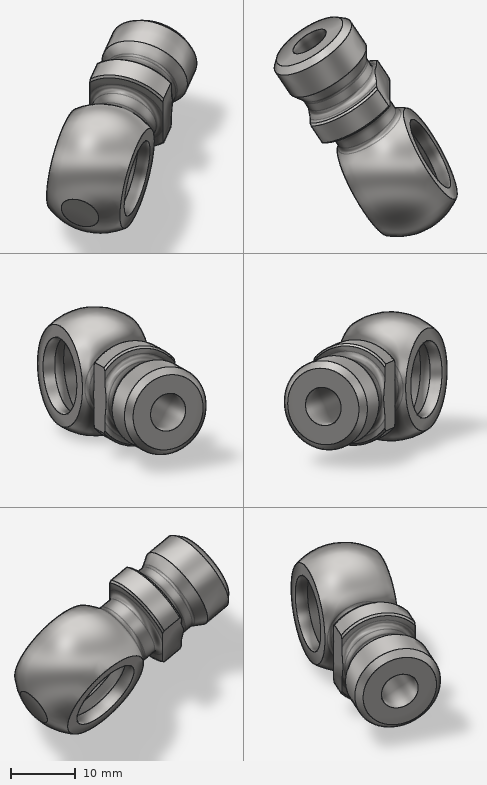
import cadquery as cq
import math

length = 35.5
ball_radius = 20.0 / 2
flat_width = 12.0
nose_y = -9.5
end_y = nose_y + length

lower_neck_radius = 10.5 / 2
upper_neck_radius = 11.7 / 2
fillet_radius = 1.0
collar_radius = 8.0
collar_front_y = 12.05
collar_back_y = 15.98
collar_chamfer = 0.32
head_radius = 14.0 / 2
head_front_y = 20.6
head_chamfer = 1.0
cone_angle = math.radians(30)
cone_blend_radius = 0.85

eye_radius = 12.0 / 2
groove_radius = 8.0
groove_mouth_width = 8.0
groove_floor_width = 3.0
bore_radius = 6.0 / 2


def arc_middle(center, radius, degrees):
    """Point on a circle of the profile, at an angle from the radial direction."""
    angle = math.radians(degrees)
    return center[0] + radius * math.cos(angle), center[1] + radius * math.sin(angle)


def turned_body():
    """Ball, necks, collar and head revolved about Y from a (radius, y) profile."""
    nose_radius = math.sqrt(ball_radius**2 - nose_y**2)

    blend_r = lower_neck_radius + fillet_radius
    blend_y = math.sqrt((ball_radius + fillet_radius) ** 2 - blend_r**2)
    ball_share = ball_radius / (ball_radius + fillet_radius)
    ball_tangent = (blend_r * ball_share, blend_y * ball_share)
    blend_angle = math.degrees(math.atan2(blend_y, blend_r))
    blend_middle = arc_middle((blend_r, blend_y), fillet_radius, 180 + blend_angle / 2)

    front_center = (lower_neck_radius + fillet_radius, collar_front_y - fillet_radius)
    back_center = (upper_neck_radius + fillet_radius, collar_back_y + fillet_radius)

    cone_foot_y = head_front_y - (head_radius - upper_neck_radius) / math.tan(cone_angle)
    tangent_length = cone_blend_radius * math.tan(cone_angle / 2)
    cone_center = (upper_neck_radius + cone_blend_radius, cone_foot_y - tangent_length)
    cone_tangent = (
        upper_neck_radius + tangent_length * math.sin(cone_angle),
        cone_foot_y + tangent_length * math.cos(cone_angle),
    )
    cone_middle = arc_middle(cone_center, cone_blend_radius, 180 - math.degrees(cone_angle) / 2)

    profile = (
        cq.Workplane("XY")
        .moveTo(0, nose_y)
        .lineTo(nose_radius, nose_y)
        .threePointArc((ball_radius, 0), ball_tangent)
        .threePointArc(blend_middle, (lower_neck_radius, blend_y))
        .lineTo(lower_neck_radius, front_center[1])
        .threePointArc(arc_middle(front_center, fillet_radius, 135), (front_center[0], collar_front_y))
        .lineTo(collar_radius - collar_chamfer, collar_front_y)
        .lineTo(collar_radius, collar_front_y + collar_chamfer)
        .lineTo(collar_radius, collar_back_y - collar_chamfer)
        .lineTo(collar_radius - collar_chamfer, collar_back_y)
        .lineTo(back_center[0], collar_back_y)
        .threePointArc(arc_middle(back_center, fillet_radius, 225), (upper_neck_radius, back_center[1]))
        .lineTo(upper_neck_radius, cone_center[1])
        .threePointArc(cone_middle, cone_tangent)
        .lineTo(head_radius, head_front_y)
        .lineTo(head_radius, end_y - head_chamfer)
        .lineTo(head_radius - head_chamfer, end_y)
        .lineTo(0, end_y)
        .close()
    )
    return profile.revolve(360, (0, 0), (0, 1))


def side_flat_cutter(side):
    """Block removing one side of the ball and collar, stopping at the upper neck."""
    depth = ball_radius
    height = 2 * ball_radius
    front_y = -ball_radius
    back_y = collar_back_y + fillet_radius
    center_x = side * (flat_width + depth) / 2
    return cq.Workplane("XY").box(depth, back_y - front_y, height).translate(
        (center_x, (front_y + back_y) / 2, 0)
    )


def eye_cutter():
    """Through eye along X with a wider trapezoidal ring groove at its middle."""
    half_width = flat_width / 2
    half_floor = groove_floor_width / 2
    half_mouth = groove_mouth_width / 2
    return (
        cq.Workplane("XY")
        .moveTo(-half_width, 0)
        .lineTo(-half_width, eye_radius)
        .lineTo(-half_mouth, eye_radius)
        .lineTo(-half_floor, groove_radius)
        .lineTo(half_floor, groove_radius)
        .lineTo(half_mouth, eye_radius)
        .lineTo(half_width, eye_radius)
        .lineTo(half_width, 0)
        .close()
        .revolve(360, (0, 0), (1, 0))
    )


def stem_bore():
    """Bore from the eye out through the end of the stem."""
    return cq.Workplane("XZ").circle(bore_radius).extrude(-end_y)


result = turned_body()
for side in (-1, 1):
    result = result.cut(side_flat_cutter(side))
result = result.cut(eye_cutter()).cut(stem_bore())